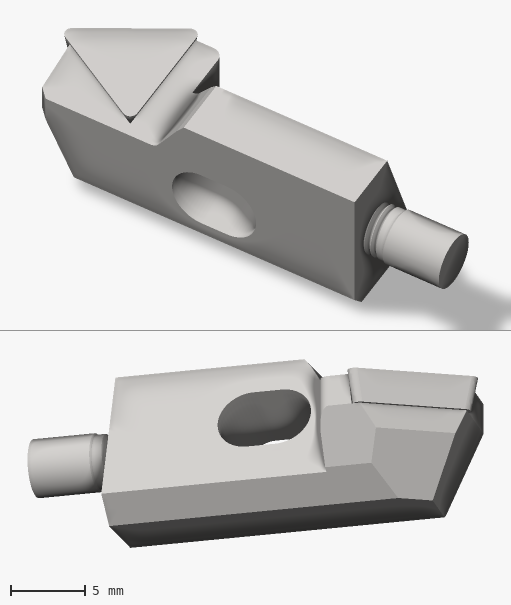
import cadquery as cq
import math

total_length = 32.0
body_end = 26.0
body_height = 11.0

top_width = 4.35
bar_width = 7.6
bar_widest_z = 1.73
bottom_back_y = 5.8
bottom_chamfer_y = 0.93
bottom_chamfer_z = 1.1

ledge_z = 7.8
step_foot_x = 10.43
step_chamfer_start_x = 12.1
step_chamfer_start_z = 10.35
step_chamfer_end_x = 12.65
step_fillet = 0.8

head_end = 10.1
head_width = 9.65
head_corner_radius = 0.8
front_back_x = 0.4
front_corner_x = 1.12
front_corner_y = 0.8
front_chamfer_x = 1.85
nose_setback = 2.72
back_slope = 0.49
upper_relief = 8.0
lower_relief = 30.0
relief_break_z = 4.1
flank_inset = 0.48

seat_z = 5.7
insert_top_z = 8.0
insert_base_x = 7.95
insert_mid_y = 5.8
insert_corner_radius = 0.55
insert_relief = 6.0
half_point_angle = 30.0
insert_tip_x = -insert_corner_radius
insert_depth = insert_base_x - insert_tip_x
insert_half_side = insert_depth * math.tan(math.radians(half_point_angle))
insert_center_x = insert_base_x - insert_depth / 3

slot_center_x = 15.0
slot_center_z = 4.5
slot_length = 6.55
slot_width = 4.58
lean = math.degrees(math.atan((bar_width - top_width) / (body_height - bar_widest_z)))

screw_y = 2.95
screw_z = 5.57
head_diameter = 4.0
head_radius = head_diameter / 2
thread_radius = 1.9
thread_depth = 0.25
thread_pitch = 0.48
groove_share = 0.9
groove_turns = 4
thread_end = 27.17
neck_end = 27.52
cone_end = 27.65
through = 2 * total_length
clearance = 0.32


def insert_prism(corner_radius):
    """Triangular prism tapering down from the insert's top face to the seat."""
    height = insert_top_z - seat_z
    triangle = [
        (insert_tip_x, insert_mid_y),
        (insert_base_x, insert_mid_y - insert_half_side),
        (insert_base_x, insert_mid_y + insert_half_side),
    ]
    shrink = 3 * height * math.tan(math.radians(insert_relief)) / insert_depth

    def section(z, scale):
        points = [
            (insert_center_x + scale * (x - insert_center_x), insert_mid_y + scale * (y - insert_mid_y))
            for x, y in triangle
        ]
        return cq.Workplane("XY").workplane(offset=z).polyline(points).close().wires().val()

    faces = [section(seat_z, 1 - shrink), section(insert_top_z, 1)]
    prism = cq.Workplane(cq.Solid.makeLoft(faces, True))
    if corner_radius:
        side_edges = cq.selectors.BoxSelector((-through, -through, seat_z + clearance),
                                              (through, through, insert_top_z - clearance))
        prism = prism.edges(side_edges).fillet(corner_radius)
    return prism


def make_bar():
    """Five-sided bar with the lowered ledge at its front."""
    section = [
        (0, bottom_chamfer_z),
        (bottom_chamfer_y, 0),
        (bottom_back_y, 0),
        (bar_width, bar_widest_z),
        (top_width, body_height),
        (0, body_height),
    ]
    bar = cq.Workplane("YZ").polyline(section).close().extrude(body_end)
    step = (
        cq.Workplane("XZ")
        .polyline([
            (0, 0),
            (body_end, 0),
            (body_end, body_height),
            (step_chamfer_end_x, body_height),
            (step_chamfer_start_x, step_chamfer_start_z),
            (step_foot_x, ledge_z),
            (0, ledge_z),
        ])
        .close()
        .extrude(-through)
    )
    inner_corner = cq.selectors.NearestToPointSelector((step_foot_x, through / 2, ledge_z))
    return bar.intersect(step.edges(inner_corner).fillet(step_fillet))


def make_head():
    """Widened front block that carries the insert, before its nose is cut back."""
    drop_slope = (bar_width - bottom_back_y) / bar_widest_z
    kink_z = (head_width - back_slope * seat_z - bottom_back_y) / (drop_slope - back_slope)
    section = [
        (0, bottom_chamfer_z),
        (bottom_chamfer_y, 0),
        (bottom_back_y, 0),
        (bottom_back_y + drop_slope * kink_z, kink_z),
        (head_width, seat_z),
        (head_width, ledge_z),
        (0, ledge_z),
    ]
    head = cq.Workplane("YZ").polyline(section).close().extrude(head_end)
    back_corner = cq.selectors.NearestToPointSelector((head_end, head_width, (seat_z + ledge_z) / 2))
    return head.edges(back_corner).fillet(head_corner_radius)


def nose_limit():
    """Space behind the front face, upright above the seat and running back below it."""
    outline = [
        (front_back_x, head_width + clearance),
        (front_corner_x, front_corner_y),
        (front_chamfer_x, 0),
        (through, 0),
        (through, head_width + clearance),
    ]
    upright = cq.Workplane("XY").workplane(offset=seat_z).polyline(outline).close().extrude(body_height)
    seat_wire = cq.Workplane("XY").workplane(offset=seat_z).polyline(outline).close().wires().val()
    bottom_wire = seat_wire.translate(cq.Vector(nose_setback, 0, -seat_z))
    return upright.union(cq.Workplane(cq.Solid.makeLoft([bottom_wire, seat_wire], True)))


def flank_limit():
    """Space inside the two relief faces below the insert's cutting edge."""
    flank = cq.Plane(
        origin=(insert_tip_x, insert_mid_y, 0),
        xDir=(-math.sin(math.radians(half_point_angle)), math.cos(math.radians(half_point_angle)), 0),
        normal=(math.cos(math.radians(half_point_angle)), math.sin(math.radians(half_point_angle)), 0),
    )
    break_offset = -flank_inset - (seat_z - relief_break_z) * math.tan(math.radians(upper_relief))
    bottom_offset = break_offset - relief_break_z * math.tan(math.radians(lower_relief))
    return (
        cq.Workplane(flank)
        .polyline([
            (-through, 0),
            (bottom_offset, 0),
            (break_offset, relief_break_z),
            (-flank_inset, seat_z),
            (-flank_inset, body_height),
            (-through, body_height),
        ])
        .close()
        .extrude(through, both=True)
    )


def slot_cutter():
    """Round-ended slot tilted upward toward the back."""
    tilt = math.radians(lean)
    plane = cq.Plane(
        origin=(slot_center_x, 0, slot_center_z),
        xDir=(1, 0, 0),
        normal=(0, math.cos(tilt), math.sin(tilt)),
    )
    return cq.Workplane(plane).slot2D(slot_length, slot_width).extrude(through / 2, both=True)


def make_screw():
    """Adjusting screw with a helical thread, standing on the end face of the bar."""
    screw = (
        cq.Workplane("XY")
        .polyline([
            (body_end, 0),
            (body_end, thread_radius),
            (neck_end, thread_radius),
            (cone_end, head_radius),
            (total_length, head_radius),
            (total_length, 0),
        ])
        .close()
        .revolve(360, (0, 0, 0), (1, 0, 0))
    )
    groove_half = groove_share * thread_pitch / 2
    groove_length = groove_turns * thread_pitch
    path = cq.Wire.makeHelix(thread_pitch, groove_length, thread_radius)
    groove = (
        cq.Workplane("XZ")
        .polyline([
            (thread_radius - thread_depth, 0),
            (thread_radius + thread_depth, -2 * groove_half),
            (thread_radius + thread_depth, 2 * groove_half),
        ])
        .close()
    )
    groove = (
        groove.sweep(cq.Workplane(path), isFrenet=True)
        .rotate((0, 0, 0), (0, 1, 0), 90)
        .translate((thread_end - groove_half - groove_length, 0, 0))
    )
    return screw.cut(groove).translate((0, screw_y, screw_z))


def make_holder():
    """Cartridge body and its screw with the seat for the insert."""
    head = make_head().intersect(flank_limit())
    body = make_bar().intersect(flank_limit()).union(head).intersect(nose_limit())
    body = body.cut(slot_cutter()).cut(insert_prism(0))
    return body.union(make_screw())


holder = make_holder()
insert = insert_prism(insert_corner_radius)

result = cq.Compound.makeCompound([holder.val(), insert.val()])